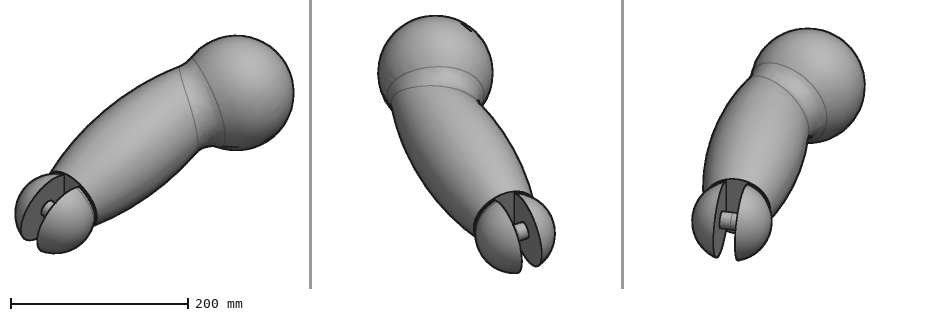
import cadquery as cq

large_diameter = 130.0
large_radius = large_diameter / 2
large_x = 30.5
large_y = 268.0

small_radius = 45.0
slot_width = 25.0
pin_radius = 9.8

limb_radius = 53.5
limb_start_radius = 38.5
limb_start_y = 28.2
limb_middle_y = 133.0
limb_end_y = 263.5
bulge_half_length = limb_middle_y - limb_start_y
bulge_height = limb_radius - limb_start_radius
bulge_arc_radius = (bulge_half_length**2 + bulge_height**2) / (2 * bulge_height)
shoulder_fillet = 30.0

neck_radius = 37.0
neck_y = 26.5
neck_ball_y = 21.5


def make_ball(radius, x, y):
    return cq.Workplane("XY").sphere(radius).translate((x, y, 0))


def make_limb():
    """Revolve a bulging profile about the Y axis."""
    arc_centre_x = limb_radius - bulge_arc_radius
    end_offset = limb_end_y - limb_middle_y
    limb_end_radius = arc_centre_x + (bulge_arc_radius**2 - end_offset**2) ** 0.5
    return (
        cq.Workplane("XY")
        .moveTo(0, limb_start_y)
        .lineTo(limb_start_radius, limb_start_y)
        .threePointArc((limb_radius, limb_middle_y), (limb_end_radius, limb_end_y))
        .lineTo(0, limb_end_y)
        .close()
        .revolve(360, (0, 0, 0), (0, 1, 0))
    )


def make_fork():
    """Revolve the small ball and its neck, then split them with a slot."""
    ball_edge_radius = (small_radius**2 - neck_ball_y**2) ** 0.5
    body = (
        cq.Workplane("XY")
        .moveTo(0, -small_radius)
        .threePointArc((small_radius, 0), (ball_edge_radius, neck_ball_y))
        .lineTo(neck_radius, neck_y)
        .lineTo(neck_radius, limb_start_y)
        .lineTo(0, limb_start_y)
        .close()
        .revolve(360, (0, 0, 0), (0, 1, 0))
    )
    slot_length = limb_start_y + small_radius
    slot = (
        cq.Workplane("XY")
        .box(slot_width, slot_length, 2 * small_radius)
        .translate((0, limb_start_y - slot_length / 2, 0))
    )
    pin = cq.Workplane("YZ").circle(pin_radius).extrude(slot_width / 2, both=True)
    return body.cut(slot).union(pin)


def make_arm():
    """Join the limb to the large ball with a concave blend."""
    arm = make_limb().union(make_ball(large_radius, large_x, large_y))
    return arm.edges("%BSPLINE").fillet(shoulder_fillet)


result = make_arm().union(make_fork())